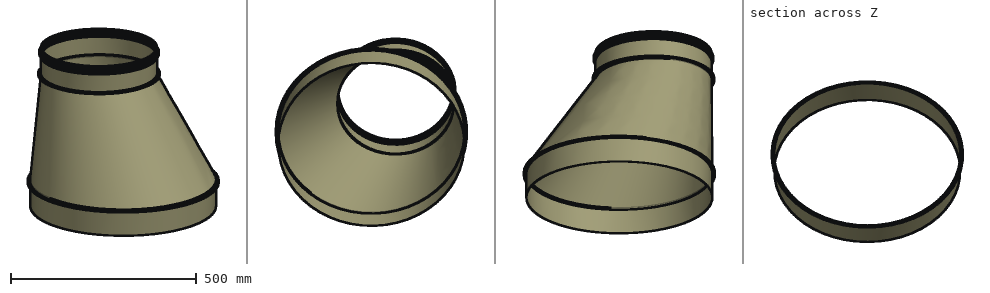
import cadquery as cq


sheet = 0.5
height = 427.5
base_radius = 501.5 / 2
neck_radius = 314.0 / 2
neck_offset = neck_radius - base_radius

hem_reach = 7.0
cone_flange_reach = 5.0
hem_gap = 1.0
base_seam_z = 68.5
neck_seam_z = 353.0
neck_bend = 1.5
cone_bottom_z = 75.5
cone_top_z = 347.5

groove_radius = 309.0 / 2
groove_bottom_z = 406.5
groove_top_z = 419.5
groove_slope = 2.5

curl_radius = 1.5
curl_center_z = height - curl_radius

seal_radius = 310.5 / 2
upper_lip_radius = 319.5 / 2
upper_lip_z = 417.5
upper_lip_edge = 1.5
lower_lip_radius = 324.0 / 2
lower_lip_z = 412.0
lower_lip_thickness = 1.5


def revolve_profile(points, axis_x):
    """Revolve (radius, z) points about a vertical axis, starting from the -X side."""
    outline = [(-radius, z) for radius, z in points]
    ring = cq.Workplane("XZ").polyline(outline).close().revolve(360, (0, 0), (0, 1))
    return ring.translate((axis_x, 0, 0))


def bent_corner(corner, bend, toward_cone):
    """Points from the wall to the flange around a corner, cut off by a slope if bend is not zero."""
    radius, z = corner
    if bend == 0:
        return [corner]
    return [(radius, z - bend * toward_cone), (radius + bend, z)]


def hem_profile(wall_radius, seam_z, toward_cone, bend=0):
    """Collar flange folded over the cone flange, from the wall outwards and back.

    toward_cone is 1 if the cone lies above the collar and -1 if it lies below.
    bend is the size of the sloped corner between wall and flange, zero for a sharp corner.
    """
    hem_radius = wall_radius + hem_reach
    outer_corner = (wall_radius, seam_z)
    inner_corner = (wall_radius - sheet, seam_z + sheet * toward_cone)
    return [
        *bent_corner(outer_corner, bend, toward_cone),
        (hem_radius, seam_z),
        (hem_radius, seam_z + 3 * sheet * toward_cone),
        (wall_radius + hem_gap, seam_z + 3 * sheet * toward_cone),
        (wall_radius + hem_gap, seam_z + 2 * sheet * toward_cone),
        (hem_radius - sheet, seam_z + 2 * sheet * toward_cone),
        (hem_radius - sheet, seam_z + sheet * toward_cone),
        *reversed(bent_corner(inner_corner, bend, toward_cone)),
    ]


def make_base_collar():
    wall = [(base_radius - sheet, 0), (base_radius, 0)]
    return revolve_profile(wall + hem_profile(base_radius, base_seam_z, 1), 0)


def make_rim_curl():
    """Half-round curl of sheet from the top of the neck wall over to its inner side."""
    center_x = curl_radius - neck_radius
    bore_radius = curl_radius - sheet
    curl = (
        cq.Workplane("XZ")
        .moveTo(center_x - curl_radius, curl_center_z)
        .threePointArc((center_x, height), (center_x + curl_radius, curl_center_z))
        .lineTo(center_x + bore_radius, curl_center_z)
        .threePointArc((center_x, height - sheet), (center_x - bore_radius, curl_center_z))
        .close()
        .revolve(360, (0, 0), (0, 1))
    )
    return curl.translate((neck_offset, 0, 0))


def make_neck_collar():
    outer_wall = [
        (neck_radius, curl_center_z),
        (neck_radius, groove_top_z + groove_slope),
        (groove_radius, groove_top_z),
        (groove_radius, groove_bottom_z),
        (neck_radius, groove_bottom_z - groove_slope),
    ]
    inner_wall = [(radius - sheet, z) for radius, z in reversed(outer_wall)]
    hem = hem_profile(neck_radius, neck_seam_z, -1, neck_bend)
    wall = revolve_profile(outer_wall + hem + inner_wall, neck_offset)
    return wall.union(make_rim_curl())


def cone_envelope(inset):
    """Solid oblique cone with short straight ends, its surface inset from the outer one."""
    bottom_z = base_seam_z + sheet
    top_z = neck_seam_z - sheet
    bottom_radius = base_radius - inset
    top_radius = neck_radius - inset
    to_minus_x = cq.Vector(-1, 0, 0)
    upward = cq.Vector(0, 0, 1)

    def level_circle(radius, center):
        plane = cq.Plane(center, to_minus_x, upward)
        return cq.Wire.assembleEdges([cq.Edge.makeCircle(radius).moved(cq.Location(plane))])

    wires = [
        level_circle(bottom_radius, (0, 0, bottom_z)),
        level_circle(bottom_radius, (0, 0, cone_bottom_z)),
        level_circle(top_radius, (neck_offset, 0, cone_top_z)),
        level_circle(top_radius, (neck_offset, 0, top_z)),
    ]
    return cq.Workplane(cq.Solid.makeLoft(wires, True))


def cone_flange(wall_radius, bottom_z, axis_x):
    flange = [
        (wall_radius - sheet, bottom_z),
        (wall_radius + cone_flange_reach, bottom_z),
        (wall_radius + cone_flange_reach, bottom_z + sheet),
        (wall_radius - sheet, bottom_z + sheet),
    ]
    return revolve_profile(flange, axis_x)


def make_cone():
    shell = cone_envelope(0).cut(cone_envelope(sheet))
    base_flange = cone_flange(base_radius, base_seam_z + sheet, 0)
    neck_flange = cone_flange(neck_radius, neck_seam_z - 2 * sheet, neck_offset)
    return shell.union(base_flange).union(neck_flange)


def make_seal():
    profile = [
        (groove_radius, groove_bottom_z),
        (seal_radius, groove_bottom_z),
        (seal_radius, lower_lip_z),
        (lower_lip_radius, lower_lip_z),
        (lower_lip_radius, lower_lip_z + lower_lip_thickness),
        (seal_radius, lower_lip_z + lower_lip_thickness),
        (seal_radius, upper_lip_z),
        (upper_lip_radius, upper_lip_z),
        (upper_lip_radius, upper_lip_z + upper_lip_edge),
        (groove_radius, groove_top_z),
    ]
    return revolve_profile(profile, neck_offset)


base_collar = make_base_collar()
cone = make_cone().solids()
neck_collar = make_neck_collar().solids()
seal = make_seal()

result = cq.Compound.makeCompound([base_collar.val(), cone.val(), neck_collar.val(), seal.val()])